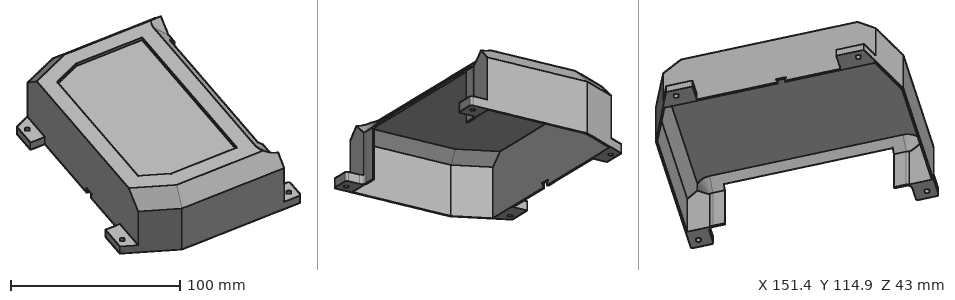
import cadquery as cq
import math

length = 151.4
depth = 114.9
height = 43.0

wall = 1.0
chamfer = 10.0
front_face_y = 9.8
rear_foot_start_y = 103.4
rear_face_y = 103.0
front_corner_inset = 15.3
slant_depth = 33.5

foot_height = 5.9
rear_foot_width = 13.8
rear_foot_corner_radius = 1.4
rear_foot_root_radius = 2.9
left_foot_inner_inset = 31.3
right_foot_inner_inset = 32.2

hole_diameter = 3.0
rear_hole_inset = 5.9
rear_hole_y = 109.9
left_front_hole_inset = 20.3
right_front_hole_inset = 19.8
front_hole_y = 4.2

panel_margin = 10.1
panel_depth = 2.1

rear_opening_inset = 24.0
rear_opening_y = 99.3

notch_x = 7.1
notch_width = 4.7
notch_height = 3.3
notch_head_width = 6.0
notch_head_height = 0.3

half_length = length / 2
slant_angle = math.atan2(front_corner_inset, slant_depth)


def block(x_min, x_max, y_min, y_max, z_min, z_max):
    """Box given by its limits."""
    size = (x_max - x_min, y_max - y_min, z_max - z_min)
    return cq.Workplane("XY").box(*size, centered=False).translate((x_min, y_min, z_min))


def plan_prism(inset, front_y, rear_y, prism_height):
    """Prism of the six-sided plan, its straight and slanted sides moved in by inset."""
    side_x = half_length - inset
    kink_y = slant_depth + inset * math.tan(slant_angle / 2)
    front_x = side_x - (kink_y - front_y) * math.tan(slant_angle)
    points = [
        (-front_x, front_y),
        (front_x, front_y),
        (side_x, kink_y),
        (side_x, rear_y),
        (-side_x, rear_y),
        (-side_x, kink_y),
    ]
    return cq.Workplane("XY").polyline(points).close().extrude(prism_height)


def rear_gap(growth):
    """Plan of the space between the rear feet, grown outwards, with rounded inner corners."""
    half_width = half_length - rear_foot_width + growth
    near_y = rear_face_y - growth
    far_y = 2 * depth - near_y
    return (
        cq.Workplane("XY")
        .center(0, (near_y + far_y) / 2)
        .rect(2 * half_width, far_y - near_y)
        .extrude(height)
        .edges("|Z")
        .fillet(rear_foot_root_radius + growth)
    )


def rear_flare(growth, bevel, top):
    """Rear gap continued upwards as a 45 degree flare that ends at the top face."""
    straight = rear_gap(growth)
    flare = straight.faces("<Z").wires().toPending().extrude(bevel, taper=-45, combine=False)
    return straight, flare.translate((0, 0, top - bevel))


def housing(inset):
    """Bevelled housing, offset inwards by inset on every outer face."""
    top = height - inset
    bevel = chamfer - inset * (2 - math.sqrt(2))
    body = plan_prism(inset, 0, depth, top)
    body = body.faces(">Z").edges("not |X").chamfer(bevel)
    straight, flare = rear_flare(inset, bevel, top)
    body = body.cut(straight).cut(flare)
    rear_y = rear_foot_start_y - inset
    return body.intersect(block(-length, length, front_face_y + inset, rear_y, 0, height))


def cavity():
    """Inside of the shell, open at the bottom; the roof is thickened to back the recess."""
    ceiling = height - panel_depth - wall
    return housing(wall).intersect(block(-half_length, half_length, 0, depth, 0, ceiling))


def front_feet():
    left_inner_x = left_foot_inner_inset - half_length
    right_inner_x = half_length - right_foot_inner_inset
    feet = plan_prism(0, 0, front_face_y, foot_height)
    return feet.cut(block(left_inner_x, right_inner_x, 0, front_face_y, 0, foot_height))


def rear_feet():
    feet = block(-half_length, half_length, rear_face_y, depth, 0, foot_height).cut(rear_gap(0))
    return feet.edges("|Z and >Y").fillet(rear_foot_corner_radius)


def screw_holes():
    centers = [
        (rear_hole_inset - half_length, rear_hole_y),
        (half_length - rear_hole_inset, rear_hole_y),
        (left_front_hole_inset - half_length, front_hole_y),
        (half_length - right_front_hole_inset, front_hole_y),
    ]
    return cq.Workplane("XY").pushPoints(centers).circle(hole_diameter / 2).extrude(foot_height)


def top_panel():
    panel_rear_y = rear_face_y - chamfer - panel_margin
    panel = plan_prism(chamfer + panel_margin, front_face_y + panel_margin, panel_rear_y, panel_depth)
    return panel.translate((0, 0, height - panel_depth))


def rear_opening():
    half_width = half_length - rear_opening_inset
    return block(-half_width, half_width, rear_opening_y, depth, 0, height)


def front_notch():
    stem_half = notch_width / 2
    head_half = notch_head_width / 2
    start_y = front_face_y
    end_y = front_face_y + wall
    head_z = notch_height - notch_head_height
    stem = block(notch_x - stem_half, notch_x + stem_half, start_y, end_y, 0, notch_height)
    head = block(notch_x - head_half, notch_x + head_half, start_y, end_y, head_z, notch_height)
    return stem.union(head)


result = (
    housing(0)
    .union(front_feet())
    .union(rear_feet())
    .cut(cavity())
    .cut(screw_holes())
    .cut(top_panel())
    .cut(rear_opening())
    .cut(front_notch())
)